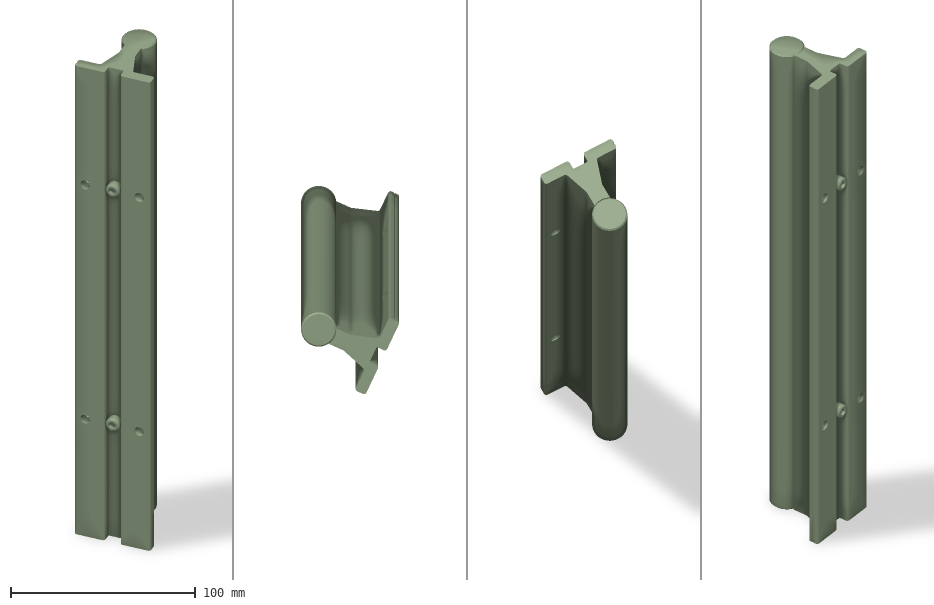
import cadquery as cq

rail_length = 304.8
base_width = 44.45
base_thickness = 6.35

shaft_diameter = 19.05
shaft_radius = shaft_diameter / 2
shaft_height = 38.1
shaft_length = 304.6
shaft_chamfer = 0.8

edge_radius = 1.5
neck_width = shaft_diameter / 2
web_foot_width = shaft_diameter
taper_top = 21.0
taper_blend_radius = 3.0
groove_width = 9.0
groove_depth = 5.6
groove_floor_radius = 0.5
mark_height = base_thickness / 2
mark_width = 0.8
mark_depth = 0.4

station_pitch = rail_length / 2
station_positions = [-station_pitch / 2, station_pitch / 2]
mounting_hole_spacing = 31.75
mounting_hole_diameter = 5.6

head_diameter = 7.925
head_height = 4.826
head_protrusion = 0.255
head_edge_chamfer = 0.8
head_seat = head_height - head_protrusion
socket_width = 3.97
socket_depth = head_height / 2
socket_sides = 6
shank_diameter = 4.826
shank_reach = shaft_radius
shank_tip = shaft_height - shaft_radius + shank_reach


def cylinder_along_y(diameter, start, end, x, z):
    """Cylinder parallel to Y between two Y positions."""
    return (
        cq.Workplane("XZ", origin=(x, start, z))
        .circle(diameter / 2)
        .extrude(start - end)
    )


def shaft_bar(length):
    """Plain round bar on the shaft axis, centred along Z."""
    return (
        cq.Workplane("XY", origin=(0, shaft_height, -length / 2))
        .circle(shaft_radius)
        .extrude(length)
    )


def screw_shank(z):
    return cylinder_along_y(shank_diameter, head_seat, shank_tip, 0, z)


def round_edge_pair(body, x, y, radius):
    """Round the two lengthwise edges at (x, y) and (-x, y)."""
    for side_x in (-x, x):
        edge = cq.selectors.NearestToPointSelector((side_x, y, 0))
        body = body.edges(edge).fillet(radius)
    return body


def make_support_profile():
    """Base, groove and tapered web, with all lengthwise edges rounded."""
    half_base = base_width / 2
    half_neck = neck_width / 2
    half_foot = web_foot_width / 2
    half_groove = groove_width / 2

    right_side = [
        (half_groove, groove_depth),
        (half_groove, 0),
        (half_base, 0),
        (half_base, base_thickness),
        (half_foot, base_thickness),
        (half_neck, taper_top),
        (half_neck, shaft_height),
    ]
    left_side = [(-x, y) for x, y in reversed(right_side)]
    profile = (
        cq.Workplane("XY")
        .polyline(right_side + left_side)
        .close()
        .extrude(rail_length / 2, both=True)
    )

    profile = round_edge_pair(profile, half_groove, 0, edge_radius)
    profile = round_edge_pair(profile, half_groove, groove_depth, groove_floor_radius)
    profile = round_edge_pair(profile, half_base, 0, edge_radius)
    profile = round_edge_pair(profile, half_base, base_thickness, edge_radius)
    profile = round_edge_pair(profile, half_foot, base_thickness, edge_radius)
    return round_edge_pair(profile, half_neck, taper_top, taper_blend_radius)


def make_support():
    support = make_support_profile()

    support = support.cut(shaft_bar(rail_length))

    mark = (
        cq.Workplane("XY")
        .center(-base_width / 2, mark_height)
        .rect(2 * mark_depth, mark_width)
        .extrude(rail_length / 2, both=True)
    )
    support = support.cut(mark)

    for z in station_positions:
        for x in (-mounting_hole_spacing / 2, mounting_hole_spacing / 2):
            support = support.cut(cylinder_along_y(mounting_hole_diameter, 0, base_thickness, x, z))
        support = support.cut(screw_shank(z))
    return support


def make_shaft():
    """Round shaft with chamfered ends and blind holes for the screws."""
    shaft = shaft_bar(shaft_length).faces("|Z").chamfer(shaft_chamfer)
    for z in station_positions:
        shaft = shaft.cut(screw_shank(z))
    return shaft


def make_screw(z):
    """Socket head cap screw, head in the groove and shank running up into the shaft."""
    head = (
        cylinder_along_y(head_diameter, -head_protrusion, head_seat, 0, z)
        .faces("<Y")
        .chamfer(head_edge_chamfer)
    )
    socket = (
        cq.Workplane("XZ", origin=(0, -head_protrusion, z))
        .polygon(socket_sides, socket_width, circumscribed=True)
        .extrude(-socket_depth)
    )
    return head.union(screw_shank(z)).cut(socket)


support = make_support()
shaft = make_shaft()
screws = [make_screw(z) for z in station_positions]

result = cq.Compound.makeCompound(
    [body.solids().val() for body in (support, shaft, *screws)]
)